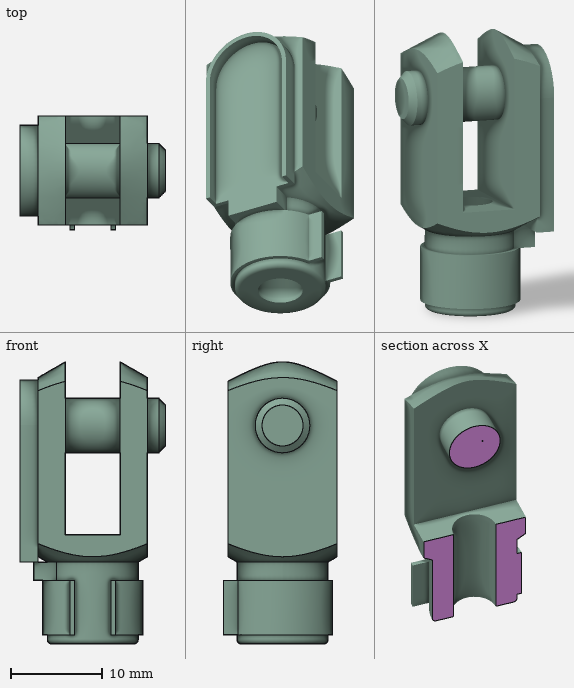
import cadquery as cq
import math

fork_width = 12.0
fork_bottom = 9.0
total_height = 31.0
slot_width = 6.0
slot_floor = 12.0
cone_slope = math.tan(math.radians(30.0))
neck_diameter = 10.0
neck_edge_radius = 0.5
thread_core_diameter = 4.92

pin_diameter = 6.0
pin_height = 24.0
pin_overhang = 2.0
pin_chamfer = 0.75

sheet = 0.5
channel_width = 10.0
channel_depth = 2.0
tongue_width = 6.0
collar_bottom = 1.0
collar_top = 7.0
collar_gap = 4.0
tab_reach = 6.5

fork_half = fork_width / 2
slot_half = slot_width / 2
neck_radius = neck_diameter / 2
collar_radius = neck_radius + sheet
collar_height = collar_top - collar_bottom


def box(x_range, y_range, z_range):
    """Axis-aligned box given by its limits along X, Y and Z."""
    size = [high - low for low, high in (x_range, y_range, z_range)]
    corner = (x_range[0], y_range[0], z_range[0])
    return cq.Workplane("XY").box(*size, centered=False).translate(corner)


def make_fork():
    """Square bar with conically turned ends, slotted along Y."""
    fork = box((-fork_half, fork_half), (-fork_half, fork_half), (fork_bottom, total_height))

    turn_radius = fork_width
    lower_rim = fork_bottom + (turn_radius - neck_radius) * cone_slope
    upper_rim = total_height - (turn_radius - slot_half) * cone_slope
    envelope = (
        cq.Workplane("XZ")
        .moveTo(0, fork_bottom)
        .lineTo(neck_radius, fork_bottom)
        .lineTo(turn_radius, lower_rim)
        .lineTo(turn_radius, upper_rim)
        .lineTo(slot_half, total_height)
        .lineTo(0, total_height)
        .close()
        .revolve(360, (0, 0, 0), (0, 1, 0))
    )
    slot = box((-slot_half, slot_half), (-fork_half, fork_half), (slot_floor, total_height))
    return fork.intersect(envelope).cut(slot)


def make_neck():
    """Round neck with a rounded lower edge."""
    neck = cq.Workplane("XY").circle(neck_radius).extrude(fork_bottom)
    return neck.faces("<Z").edges().fillet(neck_edge_radius)


def make_thread_core():
    """Bore from the neck end up to the slot floor."""
    return cq.Workplane("XY").circle(thread_core_diameter / 2).extrude(slot_floor)


def make_pin():
    """Pin from the clip side of the fork to its chamfered free end."""
    pin = (
        cq.Workplane("YZ", origin=(-fork_half, 0, pin_height))
        .circle(pin_diameter / 2)
        .extrude(fork_width + pin_overhang)
    )
    return pin.faces(">X").edges().chamfer(pin_chamfer)


def round_topped_plate(half_width, x_start, thickness):
    """Plate in the YZ plane with a semicircular top around the pin axis."""
    return (
        cq.Workplane("YZ", origin=(x_start, 0, 0))
        .moveTo(-half_width, fork_bottom)
        .lineTo(half_width, fork_bottom)
        .lineTo(half_width, pin_height)
        .threePointArc((0, pin_height + half_width), (-half_width, pin_height))
        .close()
        .extrude(thickness)
    )


def make_channel():
    """Plate beside the fork, hollowed from outside to a rim and a floor one sheet thick."""
    outer_face = -fork_half - channel_depth
    half_width = channel_width / 2
    plate = round_topped_plate(half_width, outer_face, channel_depth)
    recess = round_topped_plate(half_width - sheet, outer_face, channel_depth - sheet)
    return plate.cut(recess)


def make_tongue():
    """Block that joins the channel floor to the neck, just above the collar."""
    half_width = tongue_width / 2
    tongue = box((-fork_half - sheet, 0), (-half_width, half_width), (collar_top, fork_bottom))
    bore = cq.Workplane("XY").circle(neck_radius).extrude(fork_bottom)
    return tongue.cut(bore)


def make_collar():
    """Ring around the neck, open towards -Y, with a straight tab at each side of the gap."""
    gap_half = collar_gap / 2
    tab_outer = gap_half + sheet
    collar_z = (collar_bottom, collar_top)
    bore = cq.Workplane("XY").circle(neck_radius).extrude(collar_top)
    collar = cq.Workplane("XY", origin=(0, 0, collar_bottom)).circle(collar_radius).extrude(collar_height)
    for x_range in ((-tab_outer, -gap_half), (gap_half, tab_outer)):
        collar = collar.union(box(x_range, (-tab_reach, 0), collar_z))
    gap = box((-gap_half, gap_half), (-tab_reach, 0), collar_z)
    return collar.cut(bore).cut(gap)


clevis = make_fork().union(make_neck()).cut(make_thread_core())
clip = make_channel().union(make_tongue()).union(make_collar())
result = clevis.union(make_pin()).union(clip)